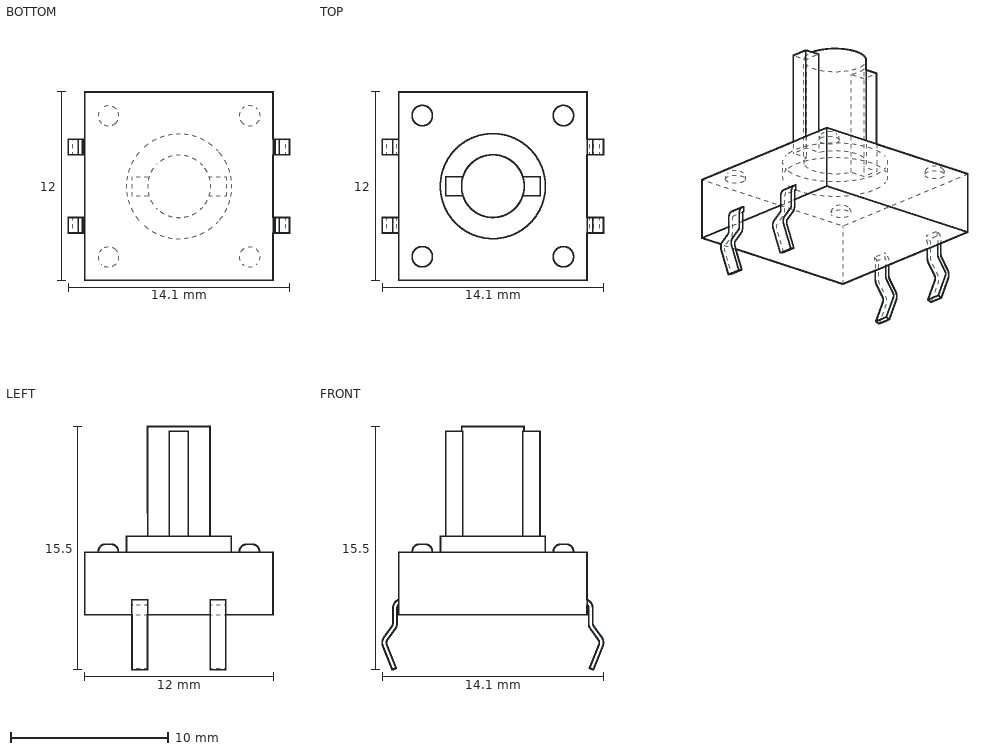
import cadquery as cq
import math

body_width = 12.0
body_height = 4.0

collar_diameter = 6.7
collar_height = 1.0
shaft_diameter = 4.0
shaft_top = 12.0
key_span = 6.01
key_width = 1.22
key_drop = 0.3

stud_offset = 4.5
stud_diameter = 1.3
stud_height = 0.51
stud_round = 0.5

total_height = 15.5
lead_reach = 7.05
lead_tip_z = shaft_top - total_height
lead_width = 1.0
lead_offset = 2.5
lead_thickness = 0.28
bend_radius = 0.45
lead_x = 6.23
vertical_top = 0.42
vertical_bottom = -0.55
outward_angle = math.radians(36)
inward_angle = math.radians(21.7)
lead_root = 0.78


def make_body():
    block = cq.Workplane("XY").box(body_width, body_width, body_height, centered=(True, True, False))
    collar = cq.Workplane("XY").circle(collar_diameter / 2).extrude(body_height + collar_height)
    return block.union(collar)


def make_shaft():
    shaft = cq.Workplane("XY").circle(shaft_diameter / 2).extrude(shaft_top)
    keys = cq.Workplane("XY").rect(key_span, key_width).extrude(shaft_top - key_drop)
    return shaft.union(keys)


def make_studs():
    corners = cq.Workplane("XY").workplane(offset=body_height)
    corners = corners.rect(2 * stud_offset, 2 * stud_offset, forConstruction=True).vertices()
    return corners.circle(stud_diameter / 2).extrude(stud_height).faces(">Z").edges().fillet(stud_round)


def make_lead():
    """Lead on the +X side, swept along the middle of the strip."""
    root_z = vertical_top + bend_radius
    start_x = body_width / 2 - lead_root

    bend_out_x = bend_radius * (1 - math.cos(outward_angle))
    bend_out_z = bend_radius * math.sin(outward_angle)
    slope_x = lead_reach - lead_thickness / 2 - lead_x - 2 * bend_out_x
    slope_z = slope_x / math.tan(outward_angle)

    bend_back_x = bend_radius * (math.cos(inward_angle) - math.cos(outward_angle))
    bend_back_z = bend_radius * (math.sin(outward_angle) + math.sin(inward_angle))

    foot_top = vertical_bottom - bend_out_z - slope_z - bend_back_z
    foot_z = foot_top - lead_tip_z - lead_thickness / 2 * math.sin(inward_angle)
    foot_x = foot_z * math.tan(inward_angle)

    path = (
        cq.Workplane("XZ")
        .moveTo(start_x, root_z)
        .lineTo(lead_x - bend_radius, root_z)
        .tangentArcPoint((bend_radius, -bend_radius))
        .lineTo(lead_x, vertical_bottom)
        .tangentArcPoint((bend_out_x, -bend_out_z))
        .line(slope_x, -slope_z)
        .tangentArcPoint((bend_back_x, -bend_back_z))
        .line(-foot_x, -foot_z)
    )
    section = cq.Workplane("YZ", origin=(start_x, 0, root_z)).rect(lead_width, lead_thickness)
    return section.sweep(path)


result = make_body().union(make_shaft()).union(make_studs())

right_lead = make_lead()
left_lead = right_lead.mirror("YZ")
for y in (-lead_offset, lead_offset):
    for lead in (left_lead, right_lead):
        result = result.union(lead.translate((0, y, 0)))